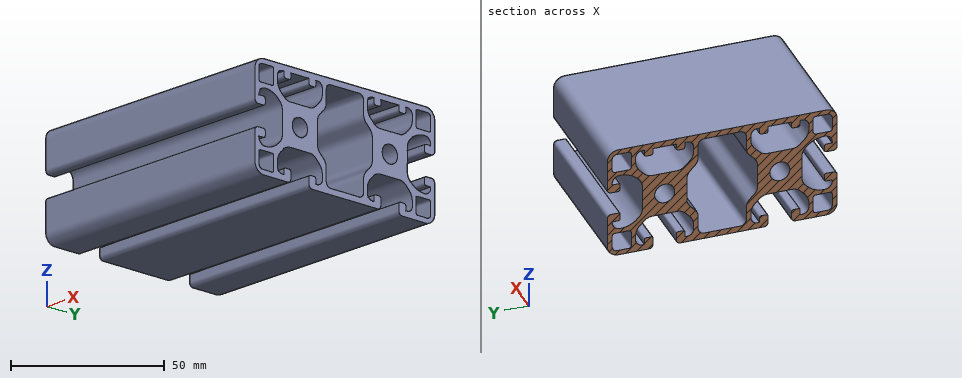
import cadquery as cq

length = 100.0
width = 80.0
height = 40.0
outer_corner_radius = 4.0

cell_half = height / 2
cell_center_y = width / 2 - cell_half
core_half = 7.8
core_bore_diameter = 6.8

slot_half_width = 10.0
slot_opening_half = 4.0
slot_diagonal_offset = 1.9
slot_core_radius = 4.0

lip_width = 3.1
lip_depth = 4.6
lip_inner_radius = 0.8
lip_outer_radius = 1.5

side_wall = 1.85
flat_wall = 2.2
side_slot_shoulder_radius = 8.5
flat_slot_shoulder_radius = 5.0
side_slot_end_radius = 2.6
flat_slot_end_radius = 2.2

hollow_size = 6.5
hollow_outer_radius = 1.5
hollow_inner_radius = 0.8

cavity_web_offset = 11.7
cavity_wall_half = cell_center_y - cavity_web_offset
cavity_core_half = cell_center_y - core_half
cavity_bevel_start = 5.6
cavity_neck_radius = 4.0
cavity_shoulder_radius = 4.0
cavity_corner_radius = 2.0


def prism(points):
    """Extrude a closed YZ outline over the full length."""
    return cq.Workplane("YZ").polyline(points).close().extrude(length)


def block(y_min, y_max, z_min, z_max):
    """Full-length rectangular bar."""
    return prism([(y_min, z_min), (y_max, z_min), (y_max, z_max), (y_min, z_max)])


def round_edges(body, corners, radius):
    """Fillet the lengthwise edges that pass through the given YZ corners."""
    for y, z in corners:
        edge = cq.selectors.NearestToPointSelector((length / 2, y, z))
        body = body.edges("|X").edges(edge).fillet(radius)
    return body


def mirrored(points):
    """The given corners together with their mirror images in Y."""
    return points + [(-y, z) for y, z in points]


def slot_chamber(wall, shoulder_radius, end_radius):
    """Wide inner part of a slot above the origin, opening toward +Z."""
    floor = cell_half - wall
    core_corner = (core_half - slot_diagonal_offset, core_half)
    shoulder = (slot_half_width, slot_half_width + slot_diagonal_offset)
    end = (slot_half_width, floor)
    right = [core_corner, shoulder, end]
    left = [(-y, z) for y, z in reversed(right)]
    chamber = prism(right + left)
    chamber = round_edges(chamber, mirrored([core_corner]), slot_core_radius)
    chamber = round_edges(chamber, mirrored([shoulder]), shoulder_radius)
    return round_edges(chamber, mirrored([end]), end_radius)


def lips():
    """Both lips of a slot opening toward +Z."""
    inner = cell_half - lip_depth
    far = slot_opening_half + lip_width
    lip = block(slot_opening_half, far, inner, cell_half)
    lip = round_edges(lip, [(slot_opening_half, inner), (far, inner)], lip_inner_radius)
    return lip.union(lip.mirror("XZ"))


def closed_slot():
    """Slot chamber with lips, still covered by the outer wall."""
    return slot_chamber(flat_wall, flat_slot_shoulder_radius, flat_slot_end_radius).cut(lips())


def open_slot(wall, shoulder_radius, end_radius):
    """Slot chamber with its opening, flared by the rounded outer lip edges."""
    mouth = block(-slot_opening_half, slot_opening_half, core_half, cell_half)
    flare_half = slot_opening_half + lip_outer_radius
    flare = block(-flare_half, flare_half, cell_half - lip_outer_radius, cell_half)
    for side in (-1, 1):
        rounding = (
            cq.Workplane("YZ")
            .center(side * flare_half, cell_half - lip_outer_radius)
            .circle(lip_outer_radius)
            .extrude(length)
        )
        flare = flare.cut(rounding)
    return slot_chamber(wall, shoulder_radius, end_radius).cut(lips()).union(mouth).union(flare)


def corner_hollow():
    """Square hollow in the +Y +Z corner."""
    y_max = width / 2 - side_wall
    z_max = height / 2 - side_wall
    y_min = y_max - hollow_size
    z_min = z_max - hollow_size
    hollow = block(y_min, y_max, z_min, z_max)
    hollow = round_edges(hollow, [(y_max, z_max)], hollow_outer_radius)
    inner_corners = [(y_min, z_min), (y_min, z_max), (y_max, z_min)]
    return round_edges(hollow, inner_corners, hollow_inner_radius)


def center_cavity():
    """Hollow between the cores, narrow at both walls and wide at mid-height."""
    bevel = cavity_core_half - cavity_wall_half
    neck = (cavity_core_half, cavity_bevel_start)
    shoulder = (cavity_wall_half, cavity_bevel_start + bevel)
    corner = (cavity_wall_half, cell_half - flat_wall)
    upper_right = [neck, shoulder, corner]
    upper = upper_right + [(-y, z) for y, z in reversed(upper_right)]
    lower = [(-y, -z) for y, z in upper]
    cavity = prism(upper + lower)
    for point, radius in (
        (neck, cavity_neck_radius),
        (shoulder, cavity_shoulder_radius),
        (corner, cavity_corner_radius),
    ):
        y, z = point
        cavity = round_edges(cavity, mirrored([(y, z), (y, -z)]), radius)
    return cavity


def turned(body, angle):
    """Turn a body about the X axis."""
    return body.rotate((0, 0, 0), (1, 0, 0), angle)


bar = cq.Workplane("YZ").rect(width, height).extrude(length)
bar = bar.edges("|X").fillet(outer_corner_radius)

upper_slot = closed_slot()
lower_slot = turned(open_slot(flat_wall, flat_slot_shoulder_radius, flat_slot_end_radius), 180)
core_bore = cq.Workplane("YZ").circle(core_bore_diameter / 2).extrude(length)
for core_y in (-cell_center_y, cell_center_y):
    for cutter in (upper_slot, lower_slot, core_bore):
        bar = bar.cut(cutter.translate((0, core_y, 0)))

side_slot = turned(open_slot(side_wall, side_slot_shoulder_radius, side_slot_end_radius), -90)
side_slot = side_slot.translate((0, cell_center_y, 0))
bar = bar.cut(side_slot).cut(side_slot.mirror("XZ"))

upper_hollows = corner_hollow().union(corner_hollow().mirror("XZ"))
bar = bar.cut(upper_hollows).cut(upper_hollows.mirror("XY"))

bar = bar.cut(center_cavity())

result = bar.translate((-length / 2, 0, 0))